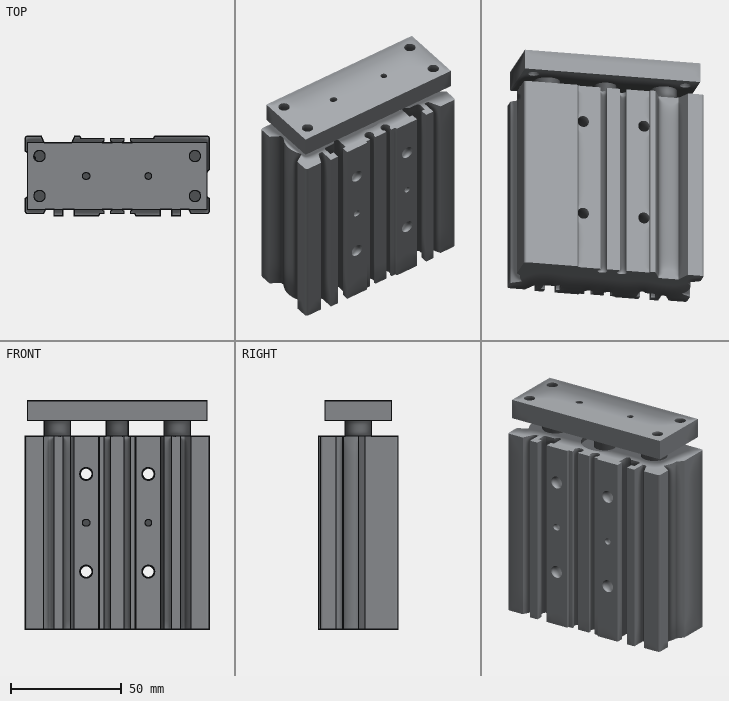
import cadquery as cq
import math


HOUSING_WIDTH = 83.0
HOUSING_DEPTH = 36.0
HOUSING_HEIGHT = 87.0
ROD_EXPOSED = 7.0
PLATE_WIDTH = 81.0
PLATE_DEPTH = 30.0
PLATE_THICKNESS = 9.0

HALF_WIDTH = HOUSING_WIDTH / 2
HALF_DEPTH = HOUSING_DEPTH / 2
PLATE_BOTTOM = HOUSING_HEIGHT + ROD_EXPOSED
PLATE_TOP = PLATE_BOTTOM + PLATE_THICKNESS

GUIDE_ROD_X = 27.0
GUIDE_ROD_DIAMETER = 12.0
PISTON_ROD_DIAMETER = 10.0
COLLAR_RECESS_DIAMETER = 21.6
COLLAR_RECESS_DEPTH = 2.0

SHELF_SETBACK = 1.0
SHELF_Y = HALF_DEPTH - SHELF_SETBACK
FRONT_SHELF_HALF_WIDTH = 8.4
FRONT_SHELF_FLARE = 0.5
BACK_SHELF_HALF_WIDTH = 16.9
BACK_SHELF_FLARE = 0.6
CORNER_RADIUS = 1.2

SENSOR_GROOVE_X = 4.5
SENSOR_GROOVE_Y = 14.3
SENSOR_GROOVE_RADIUS = 2.2
SENSOR_GROOVE_OPENING = 2.9

CORNER_BLOCK_EDGE_X = 33.2
LEAN_SLOT_INNER_X = 28.5
LEAN_SLOT_FLOOR_OUTER_X = 30.5
LEAN_SLOT_FLOOR_Y = -11.2
LEAN_SLOT_FLOOR_RADIUS = 1.0

T_SLOT_MOUTH_OUTER_X = 24.5
T_SLOT_MOUTH_INNER_X = 19.4
T_SLOT_OUTER_X = 26.3
T_SLOT_INNER_X = 17.8
T_SLOT_LIP_Y = -14.6
T_SLOT_FLOOR_Y = -9.7
T_SLOT_CORNER = 0.7
T_SLOT_HOLLOW_X = 21.0
T_SLOT_HOLLOW_DEPTH = 1.6

SIDE_FLOOR_X = 37.0
SIDE_FRONT_MOUTH_Y = -10.1
SIDE_FRONT_FLOOR_Y = -7.1
SIDE_BACK_MOUTH_Y = 11.2
SIDE_BACK_FLOOR_Y = 8.5
RIGHT_BACK_MOUTH_Y = 3.0
GUIDE_WALL_RADIUS = 12.0
GUIDE_WALL_X = GUIDE_ROD_X + GUIDE_WALL_RADIUS
GUIDE_WALL_HALF_CHORD = math.sqrt(GUIDE_WALL_RADIUS**2 - (SIDE_FLOOR_X - GUIDE_ROD_X) ** 2)

BACK_GROOVE_LEFT_X = -34.2
BACK_GROOVE_RIGHT_X = -19.2
BACK_GROOVE_DEPTH = 7.0
BACK_GROOVE_TAPER = 0.42

HOLE_X = 14.0
MOUNT_HOLE_DIAMETER = 5.2
MOUNT_RELIEF_DIAMETER = 5.8
MOUNT_RELIEF_DEPTH = 12.0
LOCATING_Z = 48.0
MOUNT_HOLE_PITCH_Z = 44.0
LOCATING_DIAMETER = 3.0
LOCATING_SLOT_LENGTH = 3.5
LOCATING_DEPTH = 5.0
PLATE_HOLE_X = 35.0
PLATE_HOLE_Y = 9.0
PLATE_HOLE_DIAMETER = 5.1


def extrude_up(sketch):
    return sketch.close().extrude(HOUSING_HEIGHT)


def mirrored_pair(cutter):
    return [cutter, cutter.mirror("YZ")]


def shelf(half_width, flare):
    """Strip cut from the back face, narrowing by the flare at each end of its floor."""
    floor_half_width = half_width - flare
    return extrude_up(
        cq.Workplane("XY")
        .moveTo(-half_width, HALF_DEPTH)
        .lineTo(-floor_half_width, SHELF_Y)
        .lineTo(floor_half_width, SHELF_Y)
        .lineTo(half_width, HALF_DEPTH)
    )


def sensor_groove(x):
    """Round groove with a narrow mouth, opening at the back shelf."""
    bore = (
        cq.Workplane("XY")
        .center(x, SENSOR_GROOVE_Y)
        .circle(SENSOR_GROOVE_RADIUS)
        .extrude(HOUSING_HEIGHT)
    )
    mouth_length = HALF_DEPTH - SENSOR_GROOVE_Y
    mouth = (
        cq.Workplane("XY")
        .center(x, SENSOR_GROOVE_Y + mouth_length / 2)
        .rect(SENSOR_GROOVE_OPENING, mouth_length)
        .extrude(HOUSING_HEIGHT)
    )
    return bore.union(mouth)


def corner_block_setback():
    """Strip that sets the right front corner block back to the shelf level."""
    return (
        cq.Workplane("XY")
        .moveTo(LEAN_SLOT_INNER_X, -HALF_DEPTH)
        .rect(HOUSING_WIDTH, SHELF_SETBACK, centered=False)
        .extrude(HOUSING_HEIGHT)
    )


def leaning_slot():
    """Slot with one leaning wall and a rounded floor corner, in the right front."""
    slot = extrude_up(
        cq.Workplane("XY")
        .moveTo(LEAN_SLOT_INNER_X, -SHELF_Y)
        .lineTo(LEAN_SLOT_INNER_X, LEAN_SLOT_FLOOR_Y)
        .lineTo(LEAN_SLOT_FLOOR_OUTER_X, LEAN_SLOT_FLOOR_Y)
        .lineTo(CORNER_BLOCK_EDGE_X, -SHELF_Y)
    )
    floor_corner = cq.selectors.NearestToPointSelector(
        (LEAN_SLOT_FLOOR_OUTER_X, LEAN_SLOT_FLOOR_Y, HOUSING_HEIGHT / 2)
    )
    return slot.edges(floor_corner).fillet(LEAN_SLOT_FLOOR_RADIUS)


def t_slot():
    """T-slot with a bevelled hollow at the inner end of its floor, in the right front."""
    hollow_y = T_SLOT_FLOOR_Y + T_SLOT_HOLLOW_DEPTH
    return extrude_up(
        cq.Workplane("XY")
        .moveTo(T_SLOT_MOUTH_INNER_X, -HALF_DEPTH)
        .lineTo(T_SLOT_MOUTH_INNER_X, T_SLOT_LIP_Y)
        .lineTo(T_SLOT_INNER_X, T_SLOT_LIP_Y)
        .lineTo(T_SLOT_INNER_X, hollow_y - T_SLOT_CORNER)
        .lineTo(T_SLOT_INNER_X + T_SLOT_CORNER, hollow_y)
        .lineTo(T_SLOT_HOLLOW_X - T_SLOT_HOLLOW_DEPTH, hollow_y)
        .lineTo(T_SLOT_HOLLOW_X, T_SLOT_FLOOR_Y)
        .lineTo(T_SLOT_OUTER_X - T_SLOT_CORNER, T_SLOT_FLOOR_Y)
        .lineTo(T_SLOT_OUTER_X, T_SLOT_FLOOR_Y - T_SLOT_CORNER)
        .lineTo(T_SLOT_OUTER_X, T_SLOT_LIP_Y)
        .lineTo(T_SLOT_MOUTH_OUTER_X, T_SLOT_LIP_Y)
        .lineTo(T_SLOT_MOUTH_OUTER_X, -HALF_DEPTH)
    )


def left_side_groove():
    return extrude_up(
        cq.Workplane("XY")
        .moveTo(-HALF_WIDTH, SIDE_BACK_MOUTH_Y)
        .lineTo(-SIDE_FLOOR_X, SIDE_BACK_FLOOR_Y)
        .lineTo(-SIDE_FLOOR_X, GUIDE_WALL_HALF_CHORD)
        .threePointArc((-GUIDE_WALL_X, 0), (-SIDE_FLOOR_X, -GUIDE_WALL_HALF_CHORD))
        .lineTo(-SIDE_FLOOR_X, SIDE_FRONT_FLOOR_Y)
        .lineTo(-HALF_WIDTH, SIDE_FRONT_MOUTH_Y)
    )


def right_side_groove():
    """Front half of the side groove; it stops at the crown of the guide rod wall."""
    half_angle = math.asin(GUIDE_WALL_HALF_CHORD / GUIDE_WALL_RADIUS) / 2
    arc_middle = (
        GUIDE_ROD_X + GUIDE_WALL_RADIUS * math.cos(half_angle),
        -GUIDE_WALL_RADIUS * math.sin(half_angle),
    )
    return extrude_up(
        cq.Workplane("XY")
        .moveTo(HALF_WIDTH, SIDE_FRONT_MOUTH_Y)
        .lineTo(SIDE_FLOOR_X, SIDE_FRONT_FLOOR_Y)
        .lineTo(SIDE_FLOOR_X, -GUIDE_WALL_HALF_CHORD)
        .threePointArc(arc_middle, (GUIDE_WALL_X, 0))
        .lineTo(HALF_WIDTH, RIGHT_BACK_MOUTH_Y)
    )


def back_groove():
    """Groove that narrows toward its floor."""
    inset = BACK_GROOVE_DEPTH * BACK_GROOVE_TAPER
    floor_y = HALF_DEPTH - BACK_GROOVE_DEPTH
    return extrude_up(
        cq.Workplane("XY")
        .moveTo(BACK_GROOVE_LEFT_X, HALF_DEPTH)
        .lineTo(BACK_GROOVE_LEFT_X + inset, floor_y)
        .lineTo(BACK_GROOVE_RIGHT_X - inset, floor_y)
        .lineTo(BACK_GROOVE_RIGHT_X, HALF_DEPTH)
    )


def front_plane():
    """Sketch plane on the front face, with X along X and Y along Z, facing -Y."""
    return cq.Workplane("XZ", origin=(0, -HALF_DEPTH, 0))


def mount_holes():
    """Through holes, each with a wider stretch behind the front face."""
    half_pitch = MOUNT_HOLE_PITCH_Z / 2
    centers = [
        (x, z) for x in (-HOLE_X, HOLE_X) for z in (LOCATING_Z - half_pitch, LOCATING_Z + half_pitch)
    ]
    through = front_plane().pushPoints(centers).circle(MOUNT_HOLE_DIAMETER / 2).extrude(-HOUSING_DEPTH)
    relief = front_plane().pushPoints(centers).circle(MOUNT_RELIEF_DIAMETER / 2).extrude(-MOUNT_RELIEF_DEPTH)
    return through.union(relief)


def locating_holes(plane, y):
    """Blind locating slot on the left and round hole on the right."""
    slot = plane.center(-HOLE_X, y).slot2D(LOCATING_SLOT_LENGTH, LOCATING_DIAMETER).extrude(-LOCATING_DEPTH)
    hole = plane.center(HOLE_X, y).circle(LOCATING_DIAMETER / 2).extrude(-LOCATING_DEPTH)
    return slot.union(hole)


def make_housing():
    housing = cq.Workplane("XY").rect(HOUSING_WIDTH, HOUSING_DEPTH).extrude(HOUSING_HEIGHT)
    for setback in mirrored_pair(corner_block_setback()):
        housing = housing.cut(setback)
    housing = housing.edges("|Z").edges("<X or >X").fillet(CORNER_RADIUS)

    grooves = [left_side_groove(), right_side_groove(), back_groove()]
    grooves.append(shelf(BACK_SHELF_HALF_WIDTH, BACK_SHELF_FLARE))
    grooves.append(shelf(FRONT_SHELF_HALF_WIDTH, FRONT_SHELF_FLARE).mirror("XZ"))
    grooves += mirrored_pair(leaning_slot())
    grooves += mirrored_pair(t_slot())
    for x in (-SENSOR_GROOVE_X, SENSOR_GROOVE_X):
        groove = sensor_groove(x)
        grooves += [groove, groove.mirror("XZ")]
    for groove in grooves:
        housing = housing.cut(groove)

    housing = housing.cut(mount_holes()).cut(locating_holes(front_plane(), LOCATING_Z))
    top = cq.Workplane("XY", origin=(0, 0, HOUSING_HEIGHT))
    recess = top.circle(COLLAR_RECESS_DIAMETER / 2).extrude(-COLLAR_RECESS_DEPTH)
    housing = housing.cut(recess)
    for x in (-GUIDE_ROD_X, GUIDE_ROD_X):
        housing = housing.cut(make_guide_rod(x))
    return housing


def make_guide_rod(x):
    """Guide rod running through the housing up to the underside of the plate."""
    return cq.Workplane("XY").center(x, 0).circle(GUIDE_ROD_DIAMETER / 2).extrude(PLATE_BOTTOM)


def make_plate():
    """Tooling plate with the piston rod below it, resting on the floor of the collar recess."""
    bottom = cq.Workplane("XY", origin=(0, 0, PLATE_BOTTOM))
    plate = bottom.rect(PLATE_WIDTH, PLATE_DEPTH).extrude(PLATE_THICKNESS)
    corner_holes = (
        bottom.rect(2 * PLATE_HOLE_X, 2 * PLATE_HOLE_Y, forConstruction=True)
        .vertices()
        .circle(PLATE_HOLE_DIAMETER / 2)
        .extrude(PLATE_THICKNESS)
    )
    top = cq.Workplane("XY", origin=(0, 0, PLATE_TOP))
    plate = plate.cut(corner_holes).cut(locating_holes(top, 0))
    piston_rod = bottom.circle(PISTON_ROD_DIAMETER / 2).extrude(-ROD_EXPOSED - COLLAR_RECESS_DEPTH)
    return plate.union(piston_rod)


housing = make_housing()
plate = make_plate()
guide_rods = [make_guide_rod(x) for x in (-GUIDE_ROD_X, GUIDE_ROD_X)]

result = cq.Compound.makeCompound([housing.val(), plate.val(), *[rod.val() for rod in guide_rods]])